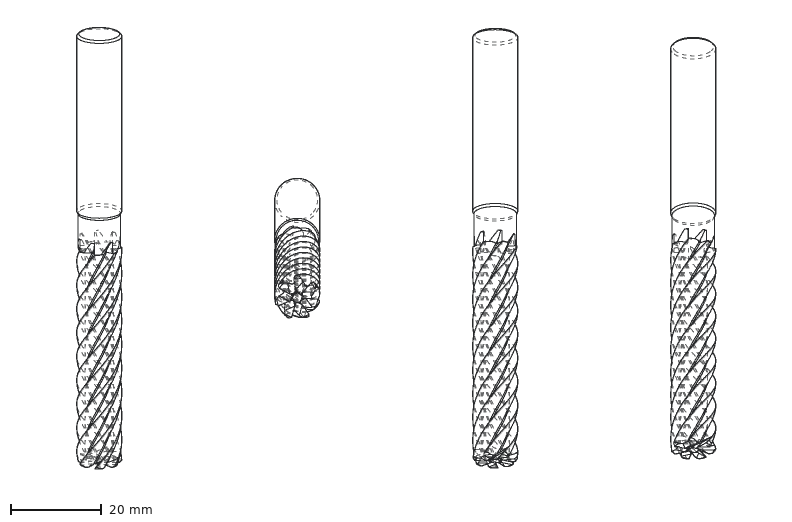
import cadquery as cq
import math

length = 100.0
radius = 5.0
fluted_length = 50.0

neck_radius = 4.7
neck_top = 58.1
shank_bottom = 58.7
shank_chamfer = 0.5

flute_count = 7
flute_step = 360 / flute_count
helix_angle = 39.0
helix_lead = 2 * math.pi * radius / math.tan(math.radians(helix_angle))
edge_angle = -75.0

land_angle = 3.0
back_angle = 16.0
back_radius = 4.7
floor_start_angle = 35.0
floor_end_angle = 42.0
root_radius = 3.2
outer_clearance = 0.5

runout_length = 2.6

corner_chamfer = 0.5
gash_height = 2.0
gash_width = 1.5
gash_inner_radius = 1.0


def polar(r, angle):
    """Point at a radius and an angle in degrees."""
    return (r * math.cos(math.radians(angle)), r * math.sin(math.radians(angle)))


def twist(height):
    """Angle by which the helix turns over a height."""
    return 360 * height / helix_lead


def cut_at_each_flute(body, tool):
    """Cut a tool from a body once per flute, turned about the axis each time."""
    for index in range(flute_count):
        body = body.cut(tool.rotate((0, 0, 0), (0, 0, 1), index * flute_step))
    return body


def draw_flute(outline, edge):
    """Continue an outline from the land at one edge, down the tooth back and up to the next edge."""
    floor_start = polar(root_radius, edge + floor_start_angle)
    floor_middle = polar(root_radius, edge + (floor_start_angle + floor_end_angle) / 2)
    floor_end = polar(root_radius, edge + floor_end_angle)
    return (
        outline.threePointArc(polar(back_radius, edge + back_angle), floor_start)
        .threePointArc(floor_middle, floor_end)
        .lineTo(*polar(radius, edge + flute_step))
    )


def tooth_section(first_edge):
    """Closed section of all the teeth, with one cutting edge at the angle first_edge."""
    outline = cq.Workplane("XY").moveTo(*polar(radius, first_edge))
    for index in range(flute_count):
        edge = first_edge + index * flute_step
        land_middle = polar(radius, edge + land_angle / 2)
        outline = outline.threePointArc(land_middle, polar(radius, edge + land_angle))
        outline = draw_flute(outline, edge)
    return outline.wire()


def flute_section(edge):
    """Closed section of the one flute behind the cutting edge at the angle edge."""
    outer_radius = radius + outer_clearance
    outer_middle_angle = edge + (land_angle + flute_step) / 2
    outline = cq.Workplane("XY").moveTo(*polar(radius, edge + land_angle))
    return (
        draw_flute(outline, edge)
        .lineTo(*polar(outer_radius, edge + flute_step))
        .threePointArc(polar(outer_radius, outer_middle_angle), polar(outer_radius, edge + land_angle))
        .close()
    )


def corner_ring():
    """Ring that bevels the corners of the teeth at the cutting end."""
    outer_radius = radius + outer_clearance
    section = [
        (radius - corner_chamfer, 0),
        (outer_radius, corner_chamfer + outer_clearance),
        (outer_radius, -outer_clearance),
        (radius - corner_chamfer - outer_clearance, -outer_clearance),
    ]
    return cq.Workplane("XZ").polyline(section).close().revolve(360, (0, 0, 0), (0, 1, 0))


def end_gash(angle):
    """Wedge that opens the core in front of one cutting edge and follows the lean of its face."""
    lean = gash_height * math.tan(math.radians(helix_angle))
    return (
        cq.Workplane("YZ", origin=(gash_inner_radius, 0, 0))
        .polyline([(0, 0), (lean, gash_height), (-gash_width, 0)])
        .close()
        .extrude(radius)
        .rotate((0, 0, 0), (0, 0, 1), angle)
    )


def make_cutting_part():
    """Fluted body with chamfered corners and a gash in front of each tooth."""
    bottom_edge_angle = edge_angle - twist(fluted_length)
    teeth = tooth_section(bottom_edge_angle).twistExtrude(fluted_length, twist(fluted_length))
    return cut_at_each_flute(teeth.cut(corner_ring()), end_gash(bottom_edge_angle))


def flute_runout():
    """End of one flute in the neck: helical along the tooth back, straight along the tooth face."""
    straight = flute_section(edge_angle).extrude(runout_length)
    helical = flute_section(edge_angle).twistExtrude(runout_length, twist(runout_length))
    return straight.intersect(helical).translate((0, 0, fluted_length))


def make_shank():
    """Plain shank with its neck, cut into by the ends of the flutes."""
    profile = [
        (0, fluted_length),
        (neck_radius, fluted_length),
        (neck_radius, neck_top),
        (radius, shank_bottom),
        (radius, length - shank_chamfer),
        (radius - shank_chamfer, length),
        (0, length),
    ]
    turned = cq.Workplane("XZ").polyline(profile).close().revolve(360, (0, 0, 0), (0, 1, 0))
    return cut_at_each_flute(turned, flute_runout())


cutting_part = make_cutting_part()
shank = make_shank()

result = cq.Compound.makeCompound([cutting_part.solids().val(), shank.solids().val()])